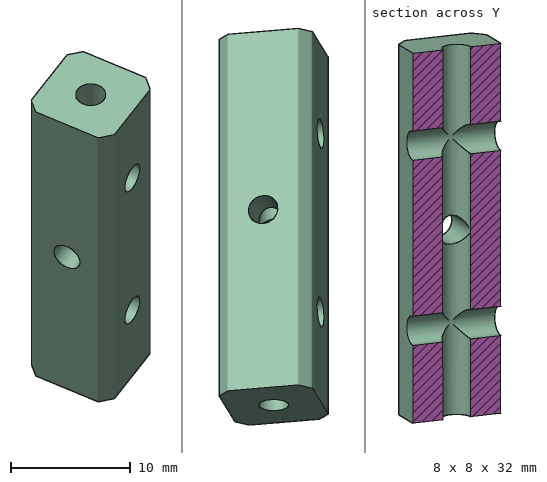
import cadquery as cq

length = 32.0
width = 8.0
edge_chamfer = 1.0
edge_fillet = 0.25
hole_diameter = 2.5
side_hole_offset = length / 4


def through_hole(axis, height=0.0):
    """Cylinder centred on the bar axis at the given height, long enough to cross the bar."""
    cutter = cq.Workplane("XY").circle(hole_diameter / 2).extrude(length, both=True)
    if axis == "X":
        cutter = cutter.rotate((0, 0, 0), (0, 1, 0), 90)
    elif axis == "Y":
        cutter = cutter.rotate((0, 0, 0), (1, 0, 0), 90)
    return cutter.translate((0, 0, height))


bar = cq.Workplane("XY").box(width, width, length)
bar = bar.edges("|Z").chamfer(edge_chamfer)
bar = bar.edges("|Z").fillet(edge_fillet)

bar = bar.cut(through_hole("Z"))
bar = bar.cut(through_hole("Y"))
for height in (-side_hole_offset, side_hole_offset):
    bar = bar.cut(through_hole("X", height))

result = bar